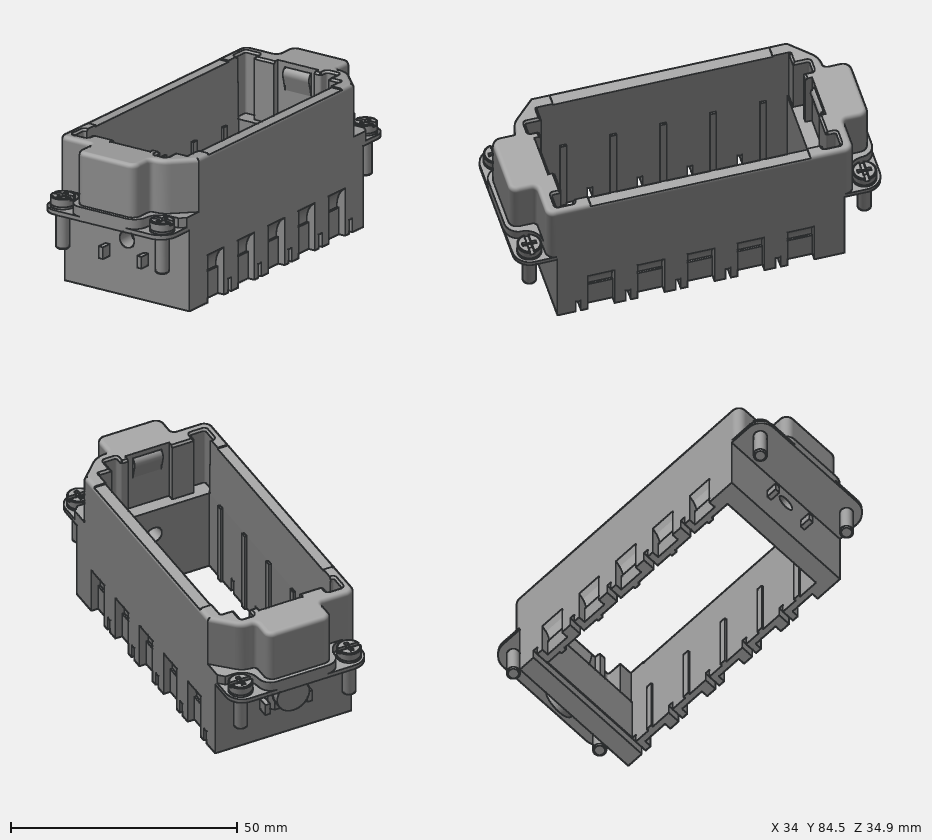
import cadquery as cq
import math

WIDTH = 34.0
LENGTH = 84.5
HEIGHT = 34.9
HALF_W = WIDTH / 2
HALF_L = LENGTH / 2
BODY_HALF_L = 33.0
CAVITY_HALF_W = 13.9
CAVITY_HALF_L = 28.65
WALL_DRAFT = 0.25

FLANGE_Z = 19.1
FLANGE_TOP = 20.1
PAD_TOP = 22.4
FLANGE_CORNER_R = 4.0
SCREW_X = 13.5
SCREW_Y = 38.5
SEAT_R = 4.0
PAD_END_HALF_W = 6.4
PAD_CORNER_CUT = 1.35

SHOULDER_Y = 35.3
TONGUE_HALF_W = 8.0
TONGUE_Y = 41.2
SHROUD_R = 2.0
TONGUE_ROOT_R = 1.0
KEY_CORNER_X = 11.1
KEY_R = 4.8
RIM_R = 1.0
RIM_RECESS = 0.3
RIM_RECESS_HALF_L = 25.3

POCKET_CHAMFER = 0.5
POCKET_R = 0.5
POCKET_DEEP_Y = 32.7
POCKET_STEP_Y = 30.4
LATCH_WALL_Y = 31.9
LATCH_WALL_HALF_W = 5.5
LEFT_POCKET_X = -14.9
LEFT_STEP_X = -11.1
RIGHT_STEP_X = 7.3
RIGHT_POCKET_X = 10.4
KEY_WALL_Y = 29.0

LATCH_WIDTH = 7.1
LATCH_REACH = 0.85
LATCH_BOTTOM_Z = 28.2
LATCH_TIP_Z = 31.6
LATCH_TOP_Z = 33.6
LATCH_BULGE_Z = 32.95
LATCH_BULGE_REACH = 0.7

PITCH = 11.5
POSITIONS = [i * PITCH for i in range(-2, 3)]
WINDOW_WIDTH = 6.2
WINDOW_TOP = 11.2
WINDOW_BREAK_Z = 10.2
WINDOW_BREAK_DEPTH = 1.2
WINDOW_ARC_Z = 8.7
WINDOW_ARC_DEPTH = 1.95
WINDOW_LEDGE_Z = 6.3
WINDOW_DEPTH = 1.7
WINDOW_MAX_DEPTH = 2.2
NOTCH_WIDTH = 1.2
NOTCH_HEIGHT = 3.3
NOTCH_SHIFT = 5.2
RIB_WIDTH = 1.4
RIB_REACH = 0.5

SHANK_D = 3.0
SHANK_END_Z = 10.1
SHANK_CHAMFER = 0.3
HEAD_D = 5.4
COLLAR_D = 5.5
COLLAR_HEIGHT = 0.5
HEAD_TOP = 22.65
HEAD_CHAMFER = 0.25
SLOT_WIDTH = 1.0
SLOT_DEPTH = 0.8
CROSS_WIDTH = 0.85
CROSS_LENGTH = 3.1
SOCKET_D = 1.4
SOCKET_DEPTH = 1.3

TAB_X = 5.2
TAB_WIDTH = 1.2
TAB_REACH = 2.6
TAB_Z = 8.45
TAB_HEIGHT = 2.8
EARTH_Z = 13.35
EARTH_HOLE_D = 4.0
EARTH_BLOCK = 8.95
EARTH_BLOCK_T = 2.3
EARTH_BLOCK_CHAMFER = 1.2
EARTH_HEAD_D = 8.0
WASHER_D = 7.9
WASHER_T = 0.5
EARTH_HEAD_T = 2.0


def block(x0, x1, y0, y1, z0, z1):
    """Box given by its limits along each axis."""
    return cq.Workplane("XY").box(x1 - x0, y1 - y0, z1 - z0, centered=False).translate((x0, y0, z0))


def prism(points, z0, z1):
    return cq.Workplane("XY").workplane(offset=z0).polyline(points).close().extrude(z1 - z0)


def cylinder(diameter, x, y, z0, z1):
    return cq.Workplane("XY").workplane(offset=z0).center(x, y).circle(diameter / 2).extrude(z1 - z0)


def both_ends(shape):
    """The shape together with its mirror image at the -Y end."""
    return shape.union(shape.mirror("XZ"))


def round_edges_at(shape, points, radius):
    """Round the vertical edges that stand at the given XY points."""
    reach = 0.1
    for x, y in points:
        box = cq.selectors.BoxSelector((x - reach, y - reach, -HEIGHT), (x + reach, y + reach, 2 * HEIGHT))
        shape = shape.edges("|Z").edges(box).fillet(radius)
    return shape


def shroud():
    key_end_y = SHOULDER_Y - (HALF_W - KEY_CORNER_X)
    end = [
        (HALF_W, key_end_y),
        (KEY_CORNER_X, SHOULDER_Y),
        (TONGUE_HALF_W, SHOULDER_Y),
        (TONGUE_HALF_W, TONGUE_Y),
        (-TONGUE_HALF_W, TONGUE_Y),
        (-TONGUE_HALF_W, SHOULDER_Y),
        (-HALF_W, SHOULDER_Y),
    ]
    other_end = [(x, -y) for x, y in reversed(end)]
    solid = prism(end + other_end, FLANGE_Z, HEIGHT)
    solid = round_edges_at(solid, [(KEY_CORNER_X, side * SHOULDER_Y) for side in (1, -1)], KEY_R)
    signs = [(1, 1), (1, -1), (-1, 1), (-1, -1)]
    tongue_roots = [(sx * TONGUE_HALF_W, sy * SHOULDER_Y) for sx, sy in signs]
    tongue_corners = [(sx * TONGUE_HALF_W, sy * TONGUE_Y) for sx, sy in signs]
    square_shoulders = [(-HALF_W, SHOULDER_Y), (-HALF_W, -SHOULDER_Y)]
    solid = round_edges_at(solid, tongue_roots, TONGUE_ROOT_R)
    solid = round_edges_at(solid, tongue_corners + square_shoulders, SHROUD_R)
    return solid.faces(">Z").edges().fillet(RIM_R)


def flange_pad():
    """Flange plate with a thick pad that curves around the two screw heads at the +Y end."""
    plate = block(-HALF_W, HALF_W, -HALF_L, HALF_L, FLANGE_Z, FLANGE_TOP)
    seat_y = SHOULDER_Y + SEAT_R
    gap = SCREW_X - PAD_END_HALF_W
    drop = HALF_L - seat_y
    blend_r = (gap**2 + drop**2 - SEAT_R**2) / (2 * (SEAT_R + drop))
    blend_y = HALF_L - blend_r
    lean = math.atan2(seat_y - blend_y, gap)
    join = (PAD_END_HALF_W + blend_r * math.cos(lean), blend_y + blend_r * math.sin(lean))
    half_lean = (math.pi / 2 + lean) / 2
    mid = (PAD_END_HALF_W + blend_r * math.sin(half_lean), blend_y + blend_r * math.cos(half_lean))
    seat_angle = (math.pi + lean + 1.5 * math.pi) / 2
    seat_mid = (SCREW_X + SEAT_R * math.cos(seat_angle), seat_y + SEAT_R * math.sin(seat_angle))
    half_pad = (
        cq.Workplane("XY").workplane(offset=FLANGE_Z)
        .moveTo(0, CAVITY_HALF_L)
        .lineTo(0, HALF_L)
        .lineTo(PAD_END_HALF_W, HALF_L)
        .threePointArc(mid, join)
        .threePointArc(seat_mid, (SCREW_X, SHOULDER_Y))
        .lineTo(HALF_W - PAD_CORNER_CUT, SHOULDER_Y)
        .lineTo(HALF_W, SHOULDER_Y - PAD_CORNER_CUT)
        .lineTo(HALF_W, CAVITY_HALF_L)
        .close()
        .extrude(PAD_TOP - FLANGE_Z)
    )
    corner_trim = block(-HALF_W, -SCREW_X, BODY_HALF_L, HALF_L, FLANGE_Z, PAD_TOP)
    pad = half_pad.union(half_pad.mirror("YZ").cut(corner_trim))
    return plate.edges("|Z").fillet(FLANGE_CORNER_R).union(both_ends(pad))


def pocket(points, rounded):
    """Pocket down to the flange level with a chamfered mouth; some of its corners are rounded."""
    straight = prism(points, FLANGE_TOP, HEIGHT - POCKET_CHAMFER)
    straight = round_edges_at(straight, rounded, POCKET_R)
    flare = straight.faces(">Z").wires().toPending().extrude(POCKET_CHAMFER, taper=-45, combine=False)
    return straight.union(flare)


def end_pockets():
    left_outline = [
        (LEFT_POCKET_X, CAVITY_HALF_L),
        (LEFT_POCKET_X, POCKET_DEEP_Y),
        (LEFT_STEP_X, POCKET_DEEP_Y),
        (LEFT_STEP_X, POCKET_STEP_Y),
        (-LATCH_WALL_HALF_W, POCKET_STEP_Y),
        (-LATCH_WALL_HALF_W, CAVITY_HALF_L),
    ]
    left = pocket(left_outline, left_outline[:4])
    right_limit = CAVITY_HALF_W - POCKET_CHAMFER
    right_outline = [
        (LATCH_WALL_HALF_W, CAVITY_HALF_L),
        (LATCH_WALL_HALF_W, POCKET_STEP_Y),
        (RIGHT_STEP_X, POCKET_STEP_Y),
        (RIGHT_STEP_X, POCKET_DEEP_Y),
        (RIGHT_POCKET_X, POCKET_DEEP_Y),
        (RIGHT_POCKET_X, KEY_WALL_Y),
        (right_limit, KEY_WALL_Y),
        (right_limit, CAVITY_HALF_L),
    ]
    right = pocket(right_outline, right_outline[2:5])
    middle = block(-LATCH_WALL_HALF_W, LATCH_WALL_HALF_W, 0, LATCH_WALL_Y, FLANGE_TOP, HEIGHT)
    key_side = block(right_limit, CAVITY_HALF_W, 0, KEY_WALL_Y, FLANGE_TOP, HEIGHT)
    return both_ends(left.union(right).union(middle).union(key_side))


def wall_draft():
    """Wedge that slopes the upper inner face of the -X wall outwards."""
    wall = -CAVITY_HALF_W
    section = [(wall, FLANGE_TOP), (wall, HEIGHT), (wall - WALL_DRAFT, HEIGHT)]
    wedge = cq.Workplane("XZ").workplane(offset=-CAVITY_HALF_L).polyline(section).close()
    return wedge.extrude(2 * CAVITY_HALF_L)


def latch_noses():
    tip_y = LATCH_WALL_Y - LATCH_REACH
    bulge = (LATCH_WALL_Y - LATCH_BULGE_REACH, LATCH_BULGE_Z)
    nose = (
        cq.Workplane("YZ").workplane(offset=-LATCH_WIDTH / 2)
        .moveTo(LATCH_WALL_Y, LATCH_BOTTOM_Z)
        .lineTo(tip_y, LATCH_TIP_Z)
        .threePointArc(bulge, (LATCH_WALL_Y, LATCH_TOP_Z))
        .close()
        .extrude(LATCH_WIDTH)
    )
    return both_ends(nose)


def side_window(y):
    """Recess in the outer face of the -X wall, open at the underside."""
    face = -HALF_W
    arc_start = (face + WINDOW_BREAK_DEPTH, WINDOW_BREAK_Z)
    arc_mid = (face + WINDOW_ARC_DEPTH, WINDOW_ARC_Z)
    arc_end = (face + WINDOW_MAX_DEPTH, WINDOW_LEDGE_Z)
    return (
        cq.Workplane("XZ").workplane(offset=-y - WINDOW_WIDTH / 2)
        .moveTo(face, 0)
        .lineTo(face, WINDOW_TOP)
        .lineTo(*arc_start)
        .threePointArc(arc_mid, arc_end)
        .lineTo(face + WINDOW_DEPTH, WINDOW_LEDGE_Z)
        .lineTo(face + WINDOW_DEPTH, 0)
        .close()
        .extrude(WINDOW_WIDTH)
    )


def screw():
    """Slotted cross-head screw on the Z axis."""
    shank = cylinder(SHANK_D, 0, 0, SHANK_END_Z, FLANGE_TOP).faces("<Z").chamfer(SHANK_CHAMFER)
    collar = cylinder(COLLAR_D, 0, 0, FLANGE_TOP, FLANGE_TOP + COLLAR_HEIGHT)
    head = cylinder(HEAD_D, 0, 0, FLANGE_TOP, HEAD_TOP).faces(">Z").chamfer(HEAD_CHAMFER)
    slot_z = HEAD_TOP - SLOT_DEPTH
    slot = block(-COLLAR_D / 2, COLLAR_D / 2, -SLOT_WIDTH / 2, SLOT_WIDTH / 2, slot_z, HEAD_TOP)
    cross = block(-CROSS_WIDTH / 2, CROSS_WIDTH / 2, -CROSS_LENGTH / 2, CROSS_LENGTH / 2, slot_z, HEAD_TOP)
    socket = cylinder(SOCKET_D, 0, 0, HEAD_TOP - SOCKET_DEPTH, HEAD_TOP)
    return shank.union(collar).union(head).cut(slot).cut(cross).cut(socket)


def y_disc(diameter, y0, thickness):
    """Disc on the earth terminal axis, starting at y0 and growing towards +Y."""
    disc = cq.Workplane("XZ").workplane(offset=-y0).center(0, EARTH_Z).circle(diameter / 2)
    return disc.extrude(-thickness)


def earth_terminal():
    half = EARTH_BLOCK / 2
    seat_y = BODY_HALF_L + EARTH_BLOCK_T
    base = block(-half, half, BODY_HALF_L, seat_y, EARTH_Z - half, EARTH_Z + half)
    base = base.faces(">Y").edges("|Z").chamfer(EARTH_BLOCK_CHAMFER)
    washer = y_disc(WASHER_D, seat_y, WASHER_T)
    head = y_disc(EARTH_HEAD_D, seat_y + WASHER_T, EARTH_HEAD_T)
    return base.union(washer).union(head)


body = block(-HALF_W, HALF_W, -BODY_HALF_L, BODY_HALF_L, 0, FLANGE_TOP)
body = body.union(flange_pad()).union(shroud())

body = body.cut(block(-CAVITY_HALF_W, CAVITY_HALF_W, -CAVITY_HALF_L, CAVITY_HALF_L, 0, HEIGHT))
body = body.cut(end_pockets()).cut(wall_draft()).union(latch_noses())
body = body.cut(
    block(-HALF_W, HALF_W, -RIM_RECESS_HALF_L, RIM_RECESS_HALF_L, HEIGHT - RIM_RECESS, HEIGHT)
)

for y in POSITIONS:
    window = side_window(y)
    body = body.cut(window).cut(window.mirror("YZ"))
    notch_y = y + NOTCH_SHIFT
    body = body.cut(
        block(-HALF_W, HALF_W, notch_y - NOTCH_WIDTH / 2, notch_y + NOTCH_WIDTH / 2, 0, NOTCH_HEIGHT)
    )
    rib = block(
        CAVITY_HALF_W - RIB_REACH, CAVITY_HALF_W, y - RIB_WIDTH / 2, y + RIB_WIDTH / 2, 0, FLANGE_TOP
    )
    body = body.union(rib).union(rib.mirror("YZ"))

for x in (-TAB_X, TAB_X):
    tab = block(
        x - TAB_WIDTH / 2, x + TAB_WIDTH / 2,
        BODY_HALF_L, BODY_HALF_L + TAB_REACH,
        TAB_Z, TAB_Z + TAB_HEIGHT,
    )
    body = body.union(both_ends(tab))
body = body.union(earth_terminal())
body = body.cut(y_disc(EARTH_HOLE_D, -BODY_HALF_L, BODY_HALF_L - CAVITY_HALF_L))

for x in (-SCREW_X, SCREW_X):
    for y in (-SCREW_Y, SCREW_Y):
        body = body.union(screw().translate((x, y, 0)))

result = body